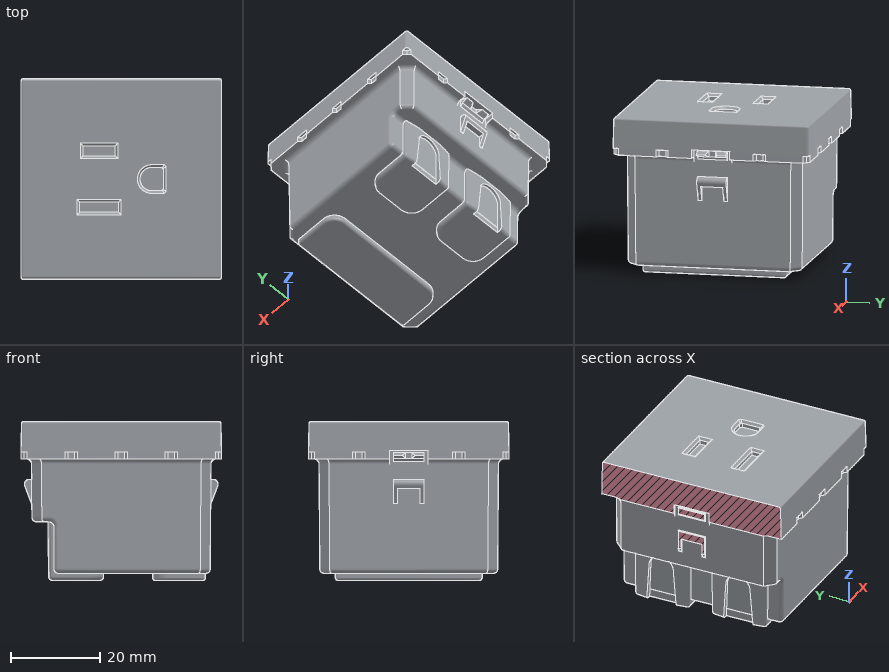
import cadquery as cq
import math

SIZE = 45.06
HEIGHT = 35.75

CAP_BOTTOM = 28.83
CAP_DRAFT = 0.13
CAP_ROUND = 0.5

RIM_BOTTOM = 27.3
GAP_DEPTH = 0.65
GAP_PITCH = 11.2
GAP_FLOOR = 1.5
TAB_HALF_SPAN = 21.2

BODY_HALF = 20.17
BODY_CHAMFER = 2.25
BODY_BOTTOM = 1.6
BODY_DRAFT = 0.4
BODY_ROUND = 1.05
FLARE_RADIUS = 1.15
STEP_Z = 13.2
STEP_X = -15.1
STEP_FILLET = 1.2

FOOT_HALF_Y = 16.5
FOOT_CORNER = 3.5
LEFT_FOOT_EDGE = 0.9
RIGHT_FOOT_EDGE = 0.65
FOOT_SIDE_ROUND = 0.4
LEFT_FOOT_X = (-16.47, -3.85)
RIGHT_FOOT_X = (7.05, 18.9)
FEET_SPLIT = 2.75
RIDGE_HALF = 3.1
RIDGE_FALL = 0.5

GROOVE_TOP = 12.2
GROOVE_HALF_TOP = 3.05
GROOVE_HALF_BOTTOM = 3.7
GROOVE_DEPTH_TOP = 0.75
GROOVE_DEPTH_BOTTOM = 1.65

LATCH_HALF = 3.38
LATCH_ARM = 0.85
LATCH_TOP = 22.75
LATCH_BOTTOM = 17.3
LATCH_REACH = 22.25
LATCH_LIP = 20.7
LATCH_ROUND = 1.1
WINDOW_HALF = 4.35
WINDOW_TOP = 29.23
BARB_TOP = 28.8
BARB_TIP_Z = 28.1
BARB_ROOT_Z = 27.45
BARB_BOTTOM = 26.75
BARB_REACH = 22.2
BARB_ROOT_REACH = 20.8

SOCKET_DEPTH = 1.6
SOCKET_CHAMFER = 0.6
BLADE_X = -4.97
BLADE_Y = 6.32
BLADE_WIDTH = 3.43
BLADE_LENGTHS = {1: 8.4, -1: 9.9}
GROUND_LEFT = 3.63
GROUND_RIGHT = 10.1
GROUND_RADIUS = 3.22
GROUND_CORNER = 0.5
MOUTH_ANGLE = 45

OVERLAP = 0.3


def box(x0, x1, y0, y1, z0, z1):
    return cq.Workplane("XY").box(x1 - x0, y1 - y0, z1 - z0, centered=False).translate((x0, y0, z0))


def make_cap():
    height = HEIGHT - CAP_BOTTOM
    draft = math.degrees(math.atan(CAP_DRAFT / height))
    cap = cq.Workplane("XY").workplane(offset=CAP_BOTTOM).rect(SIZE, SIZE).extrude(height, taper=draft)
    return cap.edges("not <Z").fillet(CAP_ROUND)


def make_rim():
    """Square rim whose outside is broken into tabs by 45-degree gaps."""
    floor_half = SIZE / 2 - GAP_DEPTH
    height = CAP_BOTTOM - RIM_BOTTOM
    plane = cq.Workplane("XY").workplane(offset=RIM_BOTTOM)
    rim = plane.rect(2 * floor_half, 2 * floor_half).extrude(height)
    edges = [-TAB_HALF_SPAN]
    gap_half = GAP_FLOOR / 2 + GAP_DEPTH
    for center in (-GAP_PITCH, 0, GAP_PITCH):
        edges += [center - gap_half, center + gap_half]
    edges.append(TAB_HALF_SPAN)
    for start, end in zip(edges[::2], edges[1::2]):
        outline = [
            (start - GAP_DEPTH, -floor_half),
            (start, -SIZE / 2),
            (end, -SIZE / 2),
            (end + GAP_DEPTH, -floor_half),
            (end, -floor_half + OVERLAP),
            (start, -floor_half + OVERLAP),
        ]
        tab = plane.polyline(outline).close().extrude(height)
        for side in range(4):
            rim = rim.union(tab.rotate((0, 0, 0), (0, 0, 1), 90 * side))
    return rim


def make_step():
    """Space cut away below the step, with a rounded inside corner."""
    return (
        cq.Workplane("XZ")
        .moveTo(-SIZE, 0).lineTo(STEP_X, 0).lineTo(STEP_X, STEP_Z - STEP_FILLET)
        .radiusArc((STEP_X - STEP_FILLET, STEP_Z), -STEP_FILLET)
        .lineTo(-SIZE, STEP_Z).close().extrude(SIZE / 2, both=True)
    )


def make_body():
    """Drafted body with a stepped -X side and a concave flare where it meets the rim."""
    body = (
        cq.Workplane("XY").workplane(offset=RIM_BOTTOM)
        .rect(2 * BODY_HALF, 2 * BODY_HALF).extrude(BODY_BOTTOM - RIM_BOTTOM, taper=BODY_DRAFT)
    )
    body = body.edges("not #Z").edges("not |X").edges("not |Y").chamfer(BODY_CHAMFER)
    body = body.cut(make_step())
    lower = cq.selectors.BoxSelector((-SIZE, -SIZE, 0), (SIZE, SIZE, STEP_Z + 0.1))
    right_corners = cq.selectors.BoxSelector((17, -SIZE, 3), (SIZE, SIZE, STEP_Z + 5))
    step_wall = cq.selectors.BoxSelector((-17, -18, 3), (-15, 18, STEP_Z + 5))
    body = body.edges(lower - right_corners - step_wall).fillet(BODY_ROUND)

    body = body.union(make_rim())
    joint_half = BODY_HALF + 0.1
    joint = cq.selectors.BoxSelector(
        (-joint_half, -joint_half, RIM_BOTTOM - 0.1), (joint_half, joint_half, RIM_BOTTOM + 0.1)
    )
    return body.edges(joint).fillet(FLARE_RADIUS)


def make_left_foot():
    """Foot on the +Y half: wraps under the body and up its stepped wall."""
    outer, inner = LEFT_FOOT_X
    middle = (FEET_SPLIT + FOOT_HALF_Y) / 2
    outline = [
        (outer + RIDGE_FALL, FEET_SPLIT),
        (outer, middle - RIDGE_HALF),
        (outer, middle + RIDGE_HALF),
        (outer + RIDGE_FALL, FOOT_HALF_Y),
        (inner, FOOT_HALF_Y),
        (inner, FEET_SPLIT),
    ]
    plane = cq.Workplane("XY").workplane(offset=STEP_Z)
    foot = plane.polyline(outline).close().extrude(-STEP_Z, taper=BODY_DRAFT)
    outer_x = outer + RIDGE_FALL
    inner_corners = cq.selectors.BoxSelector((inner - 1, -SIZE, 1), (inner + 1, SIZE, STEP_Z))
    outer_corners = cq.selectors.BoxSelector((outer_x - 0.2, -SIZE, 1), (outer_x + 0.3, SIZE, STEP_Z - 1))
    foot = foot.edges(inner_corners).edges("not #Z").fillet(FOOT_CORNER)
    foot = foot.edges(outer_corners).fillet(FOOT_SIDE_ROUND)
    foot = foot.faces("<Z").edges().fillet(LEFT_FOOT_EDGE)
    rise = box(STEP_X + OVERLAP, 0, 0, SIZE, BODY_BOTTOM + OVERLAP, HEIGHT)
    return foot.cut(rise)


def make_groove():
    """Arch-topped groove that widens and deepens downwards, on the +Y half."""
    face_x = LEFT_FOOT_X[0]
    middle = (FEET_SPLIT + FOOT_HALF_Y) / 2
    spring = GROOVE_TOP - GROOVE_HALF_TOP
    arch = (
        cq.Workplane("YZ").workplane(offset=face_x - 1)
        .moveTo(middle - GROOVE_HALF_BOTTOM, 0).lineTo(middle - GROOVE_HALF_TOP, spring)
        .threePointArc((middle, GROOVE_TOP), (middle + GROOVE_HALF_TOP, spring))
        .lineTo(middle + GROOVE_HALF_BOTTOM, 0).close().extrude(1 + 2 * GROOVE_DEPTH_BOTTOM)
    )
    wedge = (
        cq.Workplane("XZ")
        .polyline([
            (face_x - 1, 0),
            (face_x + GROOVE_DEPTH_BOTTOM, 0),
            (face_x + GROOVE_DEPTH_TOP, GROOVE_TOP),
            (face_x - 1, GROOVE_TOP),
        ]).close().extrude(-SIZE)
    )
    return arch.intersect(wedge)


def make_right_foot():
    start, end = RIGHT_FOOT_X
    foot = box(start, end, -FOOT_HALF_Y, FOOT_HALF_Y, 0, BODY_BOTTOM + OVERLAP)
    foot = foot.edges("|Z and <X").fillet(FOOT_CORNER)
    foot = foot.edges("|Z and >X").fillet(RIGHT_FOOT_EDGE)
    return foot.faces("<Z").edges().fillet(RIGHT_FOOT_EDGE)


def make_latch():
    """Hook on the -X wall: a rounded bar on two tapering arms."""
    root = -BODY_HALF + OVERLAP
    latch = (
        cq.Workplane("XZ")
        .polyline([
            (root, LATCH_BOTTOM),
            (-BODY_HALF, LATCH_BOTTOM),
            (-LATCH_REACH, LATCH_TOP),
            (root, LATCH_TOP),
        ]).close().extrude(LATCH_HALF, both=True)
    )
    latch = latch.edges("|Y and <X").fillet(LATCH_ROUND)
    arm_inside = LATCH_HALF - LATCH_ARM
    return latch.cut(box(-SIZE, root, -arm_inside, arm_inside, 0, LATCH_LIP))


def make_window():
    """Clearance cut through cap edge, rim and flare on the -X side, flush with the drafted wall."""
    flare_bottom = RIM_BOTTOM - FLARE_RADIUS
    slope = math.tan(math.radians(BODY_DRAFT))
    wall_bottom = BODY_HALF - FLARE_RADIUS * slope
    wall_top = BODY_HALF + (WINDOW_TOP - RIM_BOTTOM) * slope
    return (
        cq.Workplane("XZ")
        .polyline([
            (-SIZE, flare_bottom),
            (-wall_bottom, flare_bottom),
            (-wall_top, WINDOW_TOP),
            (-SIZE, WINDOW_TOP),
        ]).close().extrude(WINDOW_HALF, both=True)
    )


def make_barb():
    """Wedge-shaped tooth inside the window, split by a gap like those of the rim."""
    barb = (
        cq.Workplane("XZ")
        .moveTo(-BODY_HALF + OVERLAP, BARB_TOP).lineTo(-BARB_ROOT_REACH, BARB_TOP)
        .lineTo(-BARB_REACH, BARB_TIP_Z).lineTo(-BARB_ROOT_REACH, BARB_ROOT_Z)
        .lineTo(-BODY_HALF, BARB_BOTTOM).lineTo(-BODY_HALF + OVERLAP, BARB_BOTTOM)
        .close().extrude(LATCH_HALF, both=True)
    )
    half = GAP_FLOOR / 2
    gap = (
        cq.Workplane("XY").workplane(offset=BARB_BOTTOM)
        .polyline([
            (-BARB_ROOT_REACH, -half),
            (-BARB_ROOT_REACH, half),
            (-BARB_REACH, half + GAP_DEPTH),
            (-BARB_REACH, -half - GAP_DEPTH),
        ]).close().extrude(HEIGHT)
    )
    return barb.cut(gap)


def make_blade_slots():
    """Two rectangular openings with chamfered mouths."""
    top = cq.Workplane("XY").workplane(offset=HEIGHT)
    inset = 2 * SOCKET_CHAMFER
    cutters = []
    for side, length in BLADE_LENGTHS.items():
        spot = top.center(BLADE_X, side * BLADE_Y)
        cutters.append(spot.rect(length, BLADE_WIDTH).extrude(-SOCKET_CHAMFER, taper=MOUTH_ANGLE))
        cutters.append(spot.rect(length - inset, BLADE_WIDTH - inset).extrude(-SOCKET_DEPTH))
    return cutters


def ground_outline(inset):
    """D-shaped outline on the top face, shrunk by the inset."""
    radius = GROUND_RADIUS - inset
    center_x = GROUND_LEFT + GROUND_RADIUS
    right = GROUND_RIGHT - inset
    corner_x = right - GROUND_CORNER
    corner_y = radius - GROUND_CORNER
    return (
        cq.Workplane("XY").workplane(offset=HEIGHT)
        .moveTo(center_x, radius).threePointArc((center_x - radius, 0), (center_x, -radius))
        .lineTo(corner_x, -radius).lineTo(right, -corner_y)
        .lineTo(right, corner_y).lineTo(corner_x, radius).close()
    )


def make_ground_hole():
    mouth = ground_outline(0).extrude(-SOCKET_CHAMFER, taper=MOUTH_ANGLE)
    shaft = ground_outline(SOCKET_CHAMFER).extrude(-SOCKET_DEPTH)
    return [mouth, shaft]


left_foot = make_left_foot()
body = make_body().union(left_foot).union(left_foot.mirror("XZ"))
result = make_cap().union(body).union(make_right_foot())

groove = make_groove()
result = result.cut(groove).cut(groove.mirror("XZ"))

window = make_window()
side_parts = make_latch().union(make_barb())
result = result.cut(window).cut(window.mirror("YZ"))
result = result.union(side_parts).union(side_parts.mirror("YZ"))

for cutter in make_blade_slots() + make_ground_hole():
    result = result.cut(cutter)